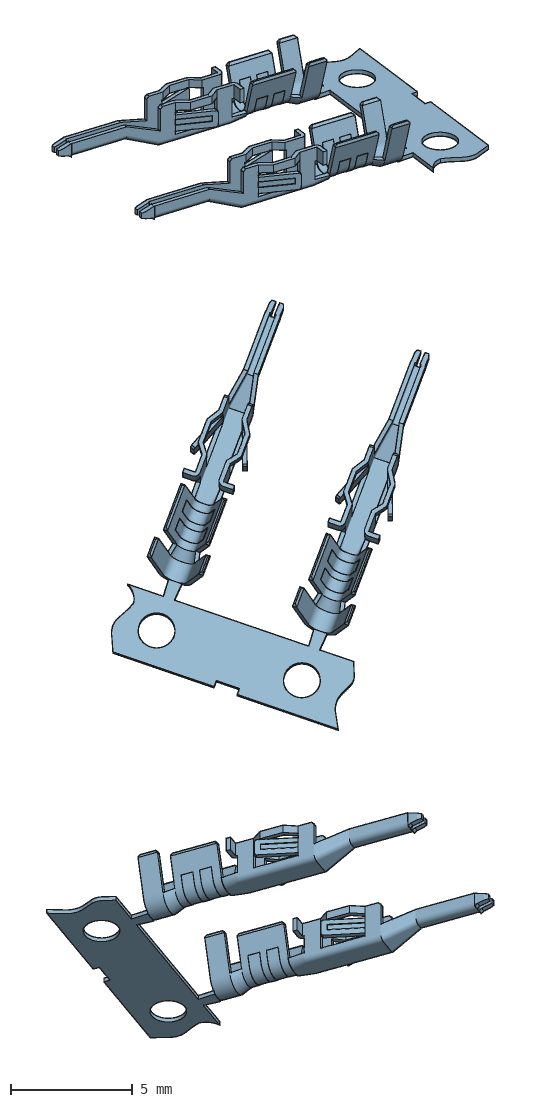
import cadquery as cq
import math

sheet = 0.2
overall_length = 16.2
strip_width = 2.96
pitch = 6.35
terminal_places = (-pitch / 2, pitch / 2)
pilot_diameter = 1.5

notch_center, notch_width, notch_depth = -0.37, 1.0, 0.28
left_far_corner, left_near_corner = (-5.3, strip_width), (-4.91, 0)
left_far_bend = ((-4.92, 2.27), (-4.83, 1.83), (-4.9, 1.5))
left_near_bend = ((-5.09, 1.07), (-5.17, 0.78), (-5.09, 0.44))
right_far_corner, right_near_corner = (4.55, strip_width), (4.99, 0)
right_near_bend = ((4.63, 0.28), (4.47, 0.68))
right_neck = (4.57, 0.97)
right_far_bend = ((4.83, 1.47), (4.94, 1.86), (4.83, 2.33))

lean = 17.0
floor_raise = 0.21
neck_start_half, neck_end_half = 0.25, 0.29
insulation_start, insulation_end = 0.76, 1.65
insulation_radius, insulation_top = 0.73, 2.4
wire_start, wire_end = 2.14, 4.26
wire_radius, wire_top = 0.62, 2.19
coin_depth = 0.13
coin_bevel = sheet / 3
wing_corner = 0.11
web_wall = 0.02
link_floor, link_bend = 0.16, 0.45

band_starts, band_length = (2.5, 3.34), 0.53
band_depth = 0.02
dent_top, ridge_top = 1.13, 1.41

box_start, box_end = 5.0, 8.5
box_half, box_bend, box_top = 0.62, 0.25, 2.07
box_corner = 0.11
box_web_top = 0.58
window_start, window_end = 5.75, 7.78
window_bottom, window_top = 0.58, 1.7
rail_out_start, rail_out_end, rail_half = 6.19, 7.24, 0.94
tab_start, tab_half, tab_bottom, tab_bend = 4.73, 1.1, 1.44, 0.25
lance_bottom, lance_top = 0.73, 1.49
lance_length, lance_angle, lance_corner = 1.81, 20.3, 0.08
groove_bottom, groove_top, groove_margin, groove_depth = 1.0, 1.26, 0.26, 0.05

ramp_start_top = 0.95
pin_start, pin_end = 9.96, 12.64
pin_half, pin_bend, pin_bottom, pin_top = 0.32, 0.25, 0.8, 1.44
tip_end = overall_length - strip_width
prong_inner, prong_outer, prong_end_half = 0.08, 0.3, 0.26
prong_end_length = 0.16
tip_bottom, tip_top = 1.0, 1.25
tip_step_length, tip_step_bottom = 0.13, 0.89


def wall_length(base, radius, angle, line_radius, top):
    """Wall length that brings the line at line_radius from the bend center up to top."""
    a = math.radians(angle)
    return (top - base - radius + line_radius * math.sin(a)) / math.cos(a)


def channel_wire(distance, base, floor_half, radius, angle, length, thickness=sheet, coin=0.0):
    """U section across X: bends, straight walls leaning by angle, and a floor that may have no width."""
    a = math.radians(angle)
    center_z = base + radius

    def spot(r, sweep, along=0.0):
        x = floor_half + r * math.cos(sweep) + along * math.sin(a)
        return x, center_z - r * math.sin(sweep) + along * math.cos(a)

    def mirrored(point):
        return -point[0], point[1]

    inner = radius - thickness
    middle = (a + math.pi / 2) / 2
    outer_floor, inner_floor = (floor_half, base), (floor_half, base + thickness)
    if coin > 0:
        tip = [
            spot(radius, a, length - coin),
            spot(radius - coin_bevel, a, length),
            spot(inner + coin_bevel, a, length),
            spot(inner, a, length - coin),
        ]
    else:
        tip = [spot(radius, a, length), spot(inner, a, length)]

    plane = cq.Workplane("XZ", origin=(0, -distance, 0))
    section = plane.moveTo(*mirrored(outer_floor))
    if floor_half > 0:
        section = section.lineTo(*outer_floor)
    section = section.threePointArc(spot(radius, middle), spot(radius, a))
    for point in tip:
        section = section.lineTo(*point)
    section = section.lineTo(*spot(inner, a)).threePointArc(spot(inner, middle), inner_floor)
    if floor_half > 0:
        section = section.lineTo(*mirrored(inner_floor))
    section = section.threePointArc(mirrored(spot(inner, middle)), mirrored(spot(inner, a)))
    for point in reversed(tip):
        section = section.lineTo(*mirrored(point))
    section = section.lineTo(*mirrored(spot(radius, a)))
    section = section.threePointArc(mirrored(spot(radius, middle)), mirrored(outer_floor))
    return section.close().val()


def join(start_wire, end_wire):
    """Straight-lined transition between two sections."""
    return cq.Workplane(cq.Solid.makeLoft([start_wire, end_wire], True))


def channel(start, end, *section, **options):
    """Channel of constant section between two distances."""
    return join(channel_wire(start, *section, **options), channel_wire(end, *section, **options))


def both_sides(body):
    return body.union(body.mirror("YZ"))


def side_profile(points):
    """Solid across the whole terminal from (distance, height) corners."""
    flat = [(-distance, height) for distance, height in points]
    return cq.Workplane("YZ").polyline(flat).close().extrude(2 * tab_half, both=True)


def plan_profile(points, bottom, top):
    """Upright solid from (x, distance) corners."""
    flat = [(x, -distance) for x, distance in points]
    return cq.Workplane("XY").workplane(offset=bottom).polyline(flat).close().extrude(top - bottom)


def make_strip():
    """Flat carrier with wavy cut-off ends, a notch and a pilot hole above each terminal."""
    outline = (
        cq.Workplane("XY")
        .moveTo(*left_far_corner)
        .lineTo(*left_far_bend[0])
        .threePointArc(*left_far_bend[1:])
        .lineTo(*left_near_bend[0])
        .threePointArc(*left_near_bend[1:])
        .lineTo(*left_near_corner)
        .lineTo(*right_near_corner)
        .threePointArc(*right_near_bend)
        .lineTo(*right_neck)
        .lineTo(*right_far_bend[0])
        .threePointArc(*right_far_bend[1:])
        .lineTo(*right_far_corner)
        .close()
    )
    strip = outline.extrude(sheet)
    notch = (
        cq.Workplane("XY")
        .center(notch_center, strip_width)
        .rect(notch_width, 2 * notch_depth)
        .extrude(sheet)
    )
    pilots = (
        cq.Workplane("XY")
        .pushPoints([(x, strip_width / 2) for x in terminal_places])
        .circle(pilot_diameter / 2)
        .extrude(sheet)
    )
    return strip.cut(notch).cut(pilots)


def make_barrel(start, end, base, radius, top):
    """Open crimp barrel with coined wing tips and chamfered wing corners."""
    length = wall_length(base, radius, lean, radius - sheet + coin_bevel, top)
    barrel = channel(start, end, base, 0, radius, lean, length, coin=coin_depth)
    envelope = side_profile([
        (start, base),
        (end, base),
        (end, top - wing_corner),
        (end - wing_corner, top),
        (start + wing_corner, top),
        (start, top - wing_corner),
    ])
    return barrel.intersect(envelope)


def make_wire_barrel():
    """Wire barrel with bands dented from outside and raised as ridges inside."""
    barrel = make_barrel(wire_start, wire_end, floor_raise, wire_radius, wire_top)
    inner_radius = wire_radius - sheet
    inner_floor = floor_raise + sheet
    dent_length = wall_length(floor_raise, wire_radius, lean, wire_radius, dent_top)
    ridge_length = wall_length(inner_floor, inner_radius, lean, inner_radius, ridge_top)
    for start in band_starts:
        span = (start, start + band_length)
        dent = channel(*span, floor_raise, 0, wire_radius, lean, dent_length, thickness=band_depth)
        ridge = channel(*span, inner_floor, 0, inner_radius, lean, ridge_length, thickness=band_depth)
        barrel = barrel.cut(dent).union(ridge)
    return barrel


def box_wire(distance, top):
    length = top - floor_raise - box_bend
    return channel_wire(distance, floor_raise, box_half - box_bend, box_bend, 0, length)


def make_transitions():
    """Neck to the strip and the low channels that link the barrels, the box and the pin."""
    neck = plan_profile(
        [
            (-neck_start_half, 0),
            (neck_start_half, 0),
            (neck_end_half, insulation_start),
            (-neck_end_half, insulation_start),
        ],
        0,
        sheet,
    )
    insulation_web = channel_wire(insulation_end, 0, 0, insulation_radius, lean, web_wall)
    wire_web_start = channel_wire(wire_start, floor_raise, 0, wire_radius, lean, web_wall)
    wire_web_end = channel_wire(wire_end, floor_raise, link_floor, link_bend, lean, web_wall)
    step = join(insulation_web, wire_web_start)
    box_link = join(wire_web_end, box_wire(box_start, box_web_top))
    ramp = join(box_wire(box_end, ramp_start_top), pin_wire(pin_start))
    return neck.union(step).union(box_link).union(ramp)


def make_rail():
    """Bowed strip of wall above the window."""
    inner_half = box_half - sheet
    rise = rail_half - box_half

    def miter(run):
        return sheet * math.tan(math.atan2(rise, run) / 2)

    entry = miter(rail_out_start - window_start)
    leave = miter(window_end - rail_out_end)
    return plan_profile(
        [
            (box_half, window_start),
            (rail_half, rail_out_start),
            (rail_half, rail_out_end),
            (box_half, window_end),
            (inner_half, window_end),
            (inner_half, window_end - leave),
            (rail_half - sheet, rail_out_end - leave),
            (rail_half - sheet, rail_out_start + entry),
            (inner_half, window_start + entry),
            (inner_half, window_start),
        ],
        window_top,
        box_top,
    )


def make_stop_tab():
    """Flange bent outward from the rear of the box wall."""
    inner_half = box_half - sheet
    bend_end = tab_start + tab_bend
    diagonal = tab_bend * (1 - math.sqrt(0.5))
    return (
        cq.Workplane("XY")
        .workplane(offset=tab_bottom)
        .moveTo(inner_half, -box_start)
        .lineTo(inner_half, -bend_end)
        .threePointArc((inner_half + diagonal, -tab_start - diagonal), (inner_half + tab_bend, -tab_start))
        .lineTo(tab_half, -tab_start)
        .lineTo(tab_half, -tab_start - sheet)
        .lineTo(box_half, -tab_start - sheet)
        .lineTo(box_half, -box_start)
        .close()
        .extrude(box_top - tab_bottom)
    )


def make_lance():
    """Locking lance splayed out of the window, hinged at the window's pin end."""
    root = -sheet * math.tan(math.radians(lance_angle))
    blade = (
        cq.Workplane("XY")
        .workplane(offset=lance_bottom)
        .polyline([(0, 0), (0, lance_length), (-sheet, lance_length), (-sheet, root)])
        .close()
        .extrude(lance_top - lance_bottom)
        .edges(">Y and |X")
        .chamfer(lance_corner)
    )
    groove = (
        cq.Workplane("XY")
        .box(groove_depth, lance_length - groove_margin, groove_top - groove_bottom, centered=False)
        .translate((-groove_depth, 0, groove_bottom))
    )
    hinge = (box_half, -window_end, 0)
    return blade.cut(groove).rotate((0, 0, 0), (0, 0, 1), -lance_angle).translate(hinge)


def make_box():
    """Locking box: open channel with side windows, bowed rails, stop tabs and lances."""
    box = join(box_wire(box_start, box_top), box_wire(box_end, box_top))
    box = box.cut(side_profile([
        (box_end, box_top),
        (box_end - box_corner, box_top),
        (box_end, box_top - box_corner),
    ]))
    box = box.cut(side_profile([
        (window_start, window_bottom),
        (window_end, window_bottom),
        (window_end, box_top),
        (window_start, box_top),
    ]))
    return box.union(both_sides(make_rail().union(make_stop_tab()).union(make_lance())))


def pin_wire(distance):
    length = pin_top - pin_bottom - pin_bend
    return channel_wire(distance, pin_bottom, pin_half - pin_bend, pin_bend, 0, length)


def make_pin():
    """Channel-shaped contact pin ending in two tapered prongs."""
    shank = join(pin_wire(pin_start), pin_wire(pin_end))
    prong = plan_profile(
        [
            (prong_inner, pin_end),
            (prong_outer, pin_end),
            (prong_outer, tip_end - prong_end_length),
            (prong_end_half, tip_end),
            (prong_inner, tip_end),
        ],
        pin_bottom,
        pin_top,
    )
    taper = side_profile([
        (pin_end, pin_bottom),
        (pin_end + tip_step_length, tip_step_bottom),
        (tip_end, tip_bottom),
        (tip_end, tip_top),
        (pin_end, pin_top),
    ])
    return shank.union(both_sides(prong).intersect(taper))


def make_terminal():
    insulation_barrel = make_barrel(insulation_start, insulation_end, 0, insulation_radius, insulation_top)
    terminal = make_transitions().union(insulation_barrel).union(make_wire_barrel())
    return terminal.union(make_box()).union(make_pin())


terminal = make_terminal()
result = make_strip()
for x in terminal_places:
    result = result.union(terminal.translate((x, 0, 0)))